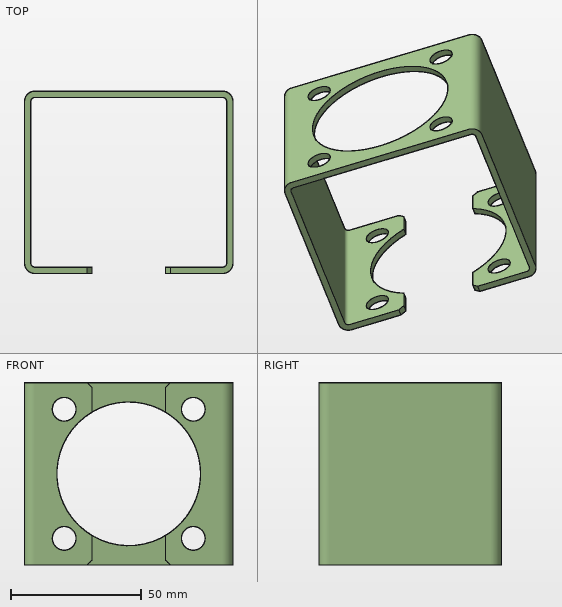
import cadquery as cq
import math

width = 80.0
depth = 70.0
height = 70.0

sheet_thickness = 2.5
inner_bend_radius = 1.5
outer_bend_radius = inner_bend_radius + sheet_thickness

opening_width = 28.0
flange_corner_chamfer = 2.0

bore_diameter = 55.0
bolt_hole_diameter = 9.0
bolt_circle_diameter = 70.0
bolt_spacing = bolt_circle_diameter / math.sqrt(2)


def rounded_block(size_x, size_y, bend_radius):
    """Full-height block with its four vertical edges rounded."""
    return cq.Workplane("XY").box(size_x, size_y, height).edges("|Z").fillet(bend_radius)


def folded_sheet():
    """Closed rectangular tube with rounded bends."""
    outside = rounded_block(width, depth, outer_bend_radius)
    inside = rounded_block(
        width - 2 * sheet_thickness,
        depth - 2 * sheet_thickness,
        inner_bend_radius,
    )
    return outside.cut(inside)


def front_opening():
    """Slot through the front wall, flared at top and bottom to chamfer the flange corners."""
    half_opening = opening_width / 2
    half_flare = half_opening + flange_corner_chamfer
    half_height = height / 2
    chamfer_start = half_height - flange_corner_chamfer
    outline = [
        (half_flare, half_height),
        (half_opening, chamfer_start),
        (half_opening, -chamfer_start),
        (half_flare, -half_height),
        (-half_flare, -half_height),
        (-half_opening, -chamfer_start),
        (-half_opening, chamfer_start),
        (-half_flare, half_height),
    ]
    front_plane = cq.Workplane("XZ", origin=(0, -depth / 2, 0))
    return front_plane.polyline(outline).close().extrude(-sheet_thickness)


def hole_pattern():
    """Central bore and four bolt holes, running through front and back."""
    bore = cq.Workplane("XZ").circle(bore_diameter / 2).extrude(depth, both=True)
    bolt_holes = (
        cq.Workplane("XZ")
        .rect(bolt_spacing, bolt_spacing, forConstruction=True)
        .vertices()
        .circle(bolt_hole_diameter / 2)
        .extrude(depth, both=True)
    )
    return bore.union(bolt_holes)


result = folded_sheet().cut(front_opening()).cut(hole_pattern())